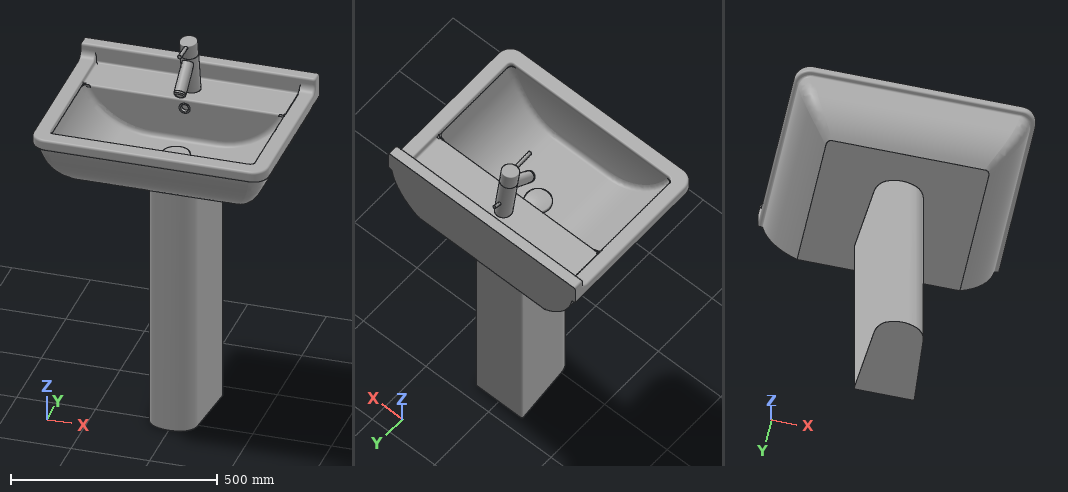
import cadquery as cq
import math

basin_width = 600.0
basin_depth = 450.0
basin_bottom_z = 707.0
rim_bottom_z = 836.0
rim_top_z = 865.0
rim_corner_radius = 40.0
rim_top_fillet = 7.0
rim_bottom_fillet = 5.0

upstand_top_z = 902.0
upstand_depth = 31.0
upstand_foot_radius = 20.0

underside_half_width_top = 288.0
underside_half_width_mid = 249.0
underside_half_width_low = 182.0
underside_depth_top = 435.0
underside_depth_mid = 398.0
underside_depth_low = 291.0
underside_mid_z = 746.0
underside_low_z = 697.0
underside_corner_radius = 31.0
underside_neck_fillet = 5.0

tray_half_width = 258.0
tray_front_y = -409.0
tray_corner_radius = 11.0
tray_edge_fillet = 5.0
deck_z = 854.0
deck_front_y = -140.0
deck_fillet = 6.0

floor_z = 737.0
floor_half_width = 83.0
floor_front_y = -379.0
floor_fillet = 15.0
front_wall_mid_y = -398.0

overflow_diameter = 28.0
overflow_bore = 20.0
overflow_depth = 10.0
overflow_z = 830.0

plug_diameter = 70.0
plug_y = -210.0
plug_edge_height = 5.0
plug_height = 10.0
plug_edge_fillet = 3.0

tap_diameter = 45.0
tap_tilt = math.radians(10.0)
tap_top = (0, -107.0, 1000.9)
tap_head_height = 40.0
tap_head_fillet = 2.0

spout_diameter = 30.0
spout_slope = math.radians(38.0)
spout_end = (0, -176.0, 892.0)
spout_root_z = 952.0
aerator_diameter = 28.0
aerator_length = 8.0
aerator_chamfer = 3.0

lever_diameter = 9.3
lever_slope = math.radians(3.0)
lever_end = (0, -181.0, 995.0)
lift_rod_diameter = 8.0
lift_rod_slope = math.radians(20.0)
lift_rod_end = (0, -47.0, 908.0)

pedestal_back_half_width = 75.0
pedestal_back_y = -63.0
pedestal_side_end = (61.0, -226.0)
pedestal_nose_end = (37.7, -262.0)
pedestal_front_y = -270.0
pedestal_corner_bulge = 6.0
pedestal_back_fillet = 5.0
pedestal_top_fillet = 5.0

tap_up = (0, -math.sin(tap_tilt), math.cos(tap_tilt))
tap_down = (0, math.sin(tap_tilt), -math.cos(tap_tilt))
spout_inward = (0, math.cos(spout_slope), math.sin(spout_slope))
spout_outward = (0, -math.cos(spout_slope), -math.sin(spout_slope))
lever_inward = (0, math.cos(lever_slope), -math.sin(lever_slope))
lift_rod_inward = (0, -math.cos(lift_rod_slope), -math.sin(lift_rod_slope))

tap_joint = tuple(top + tap_head_height * down for top, down in zip(tap_top, tap_down))

near = 0.1
clear = 1.0


def round_bar(start, direction, length, diameter):
    """Round bar from a start point along a direction."""
    return cq.Workplane(
        cq.Solid.makeCylinder(diameter / 2, length, cq.Vector(*start), cq.Vector(*direction))
    )


def block(width, depth, height):
    """Block centred on x = 0, standing on z = 0 with its front on y = 0."""
    return cq.Workplane("XY").box(width, depth, height, centered=(True, False, False))


def fillet_where(body, chosen, radius):
    """Round the edges whose midpoint passes a test."""
    edges = [edge for edge in body.edges().vals() if chosen(edge.Center())]
    return body.newObject(edges).fillet(radius)




def on_rim_outer_top(point):
    """Upper outer edges: along the sides, round the front and along the upstand."""
    high = point.z > rim_top_z - near
    on_side = high and abs(point.x) > basin_width / 2 - near and point.y < -near
    on_front = high and point.y < -basin_depth + rim_corner_radius
    on_upstand = point.z > upstand_top_z - near and abs(point.y + upstand_depth) < near
    return on_side or on_front or on_upstand


def on_neck(point):
    """Edges where the underside of the bowl meets the bottom of the rim."""
    inside_rim = abs(point.x) < underside_half_width_top + clear and point.y > -underside_depth_top - clear
    return inside_rim and abs(point.z - rim_bottom_z) < near and point.y < -near


def on_tray_opening(point):
    """Edges of the tray in the top of the rim."""
    in_tray = abs(point.x) < tray_half_width + near and tray_front_y - near < point.y < -upstand_depth
    return in_tray and abs(point.z - rim_top_z) < near


def on_underside_corner(point):
    """Slanting edges between the front and the sides of the underside."""
    off_centre = abs(point.x) > floor_half_width and point.y < -underside_depth_low
    return off_centre and underside_low_z + clear < point.z < rim_bottom_z - clear


def on_hollow_foot(point):
    """Edges of the bowl hollow along the foot of its back wall and of its front wall."""
    at_wall = point.y > deck_front_y - near or point.y < floor_front_y + near
    return at_wall and point.z < deck_z - clear


def on_plug_rim(point):
    """Upper edge of the drain plug, before it is moved into place."""
    return abs(point.z - plug_edge_height) < near


def make_rim():
    """Rim slab with the upstand at its back, rounded along its outer edges."""
    foot_z = rim_top_z + upstand_foot_radius
    foot_y = -upstand_depth - upstand_foot_radius
    bend = upstand_foot_radius * (1 - math.sqrt(0.5))
    rim = (
        cq.Workplane("YZ")
        .moveTo(0, rim_bottom_z)
        .lineTo(0, upstand_top_z)
        .lineTo(-upstand_depth, upstand_top_z)
        .lineTo(-upstand_depth, foot_z)
        .threePointArc((-upstand_depth - bend, rim_top_z + bend), (foot_y, rim_top_z))
        .lineTo(-basin_depth, rim_top_z)
        .lineTo(-basin_depth, rim_bottom_z)
        .close()
        .extrude(basin_width / 2, both=True)
    )
    rim = rim.edges("|Z and <Y").fillet(rim_corner_radius)
    rim = fillet_where(rim, on_rim_outer_top, rim_top_fillet)
    return rim.faces("<Z").edges("not(>Y)").fillet(rim_bottom_fillet)


def make_underside():
    """Outside of the bowl: curved sides and a curved front with rounded corners, cut flat below."""
    across = (
        cq.Workplane("XZ")
        .moveTo(-underside_half_width_top, rim_bottom_z)
        .threePointArc(
            (-underside_half_width_mid, underside_mid_z), (-underside_half_width_low, underside_low_z)
        )
        .lineTo(underside_half_width_low, underside_low_z)
        .threePointArc(
            (underside_half_width_mid, underside_mid_z), (underside_half_width_top, rim_bottom_z)
        )
        .close()
        .extrude(basin_depth)
    )
    along = (
        cq.Workplane("YZ")
        .moveTo(0, rim_bottom_z)
        .lineTo(0, underside_low_z)
        .lineTo(-underside_depth_low, underside_low_z)
        .threePointArc((-underside_depth_mid, underside_mid_z), (-underside_depth_top, rim_bottom_z))
        .close()
        .extrude(basin_width / 2, both=True)
    )
    underside = fillet_where(across.intersect(along), on_underside_corner, underside_corner_radius)
    below = block(2 * basin_width, 2 * basin_depth, basin_bottom_z).translate((0, -basin_depth, 0))
    return underside.cut(below)


def make_tray():
    """Shallow recess inside the rim, down to the tap deck."""
    tray = block(2 * tray_half_width, -upstand_depth - tray_front_y, upstand_top_z - deck_z)
    tray = tray.edges("|Z and <Y").fillet(tray_corner_radius)
    return tray.translate((0, tray_front_y, deck_z))


def make_deck_cove():
    """Rounded foot where the tap deck meets the walls behind it and beside it."""
    width = 2 * tray_half_width
    depth = -upstand_depth - deck_front_y
    space = block(width, depth, 2 * deck_fillet).faces("<Z").edges("not(<Y)").fillet(deck_fillet)
    return block(width, depth, deck_fillet).cut(space).translate((0, deck_front_y, deck_z))


def make_lip_rounding():
    """Material taken off the front edge of the tap deck to round it."""
    bar = block(2 * tray_half_width, deck_fillet, deck_fillet)
    rounding = cq.Workplane("YZ").circle(deck_fillet).extrude(tray_half_width, both=True)
    rounding = rounding.translate((0, deck_fillet, 0))
    return bar.cut(rounding).translate((0, deck_front_y, deck_z - deck_fillet))


def make_hollow():
    """Bowl hollow: flat floor, sides curving up from it, straight back wall and curved front wall."""
    rise = deck_z - floor_z
    run = tray_half_width - floor_half_width
    side_radius = (rise**2 + run**2) / (2 * rise)
    half_angle = math.asin(run / side_radius) / 2
    side_mid_x = floor_half_width + side_radius * math.sin(half_angle)
    side_mid_z = floor_z + side_radius * (1 - math.cos(half_angle))
    trough = (
        cq.Workplane("XZ")
        .moveTo(-floor_half_width, floor_z)
        .lineTo(floor_half_width, floor_z)
        .threePointArc((side_mid_x, side_mid_z), (tray_half_width, deck_z))
        .lineTo(-tray_half_width, deck_z)
        .threePointArc((-side_mid_x, side_mid_z), (-floor_half_width, floor_z))
        .close()
        .extrude(basin_depth)
    )
    along = (
        cq.Workplane("YZ")
        .moveTo(deck_front_y, deck_z)
        .lineTo(deck_front_y, floor_z)
        .lineTo(floor_front_y, floor_z)
        .threePointArc((front_wall_mid_y, (floor_z + deck_z) / 2), (tray_front_y, deck_z))
        .close()
        .extrude(basin_width / 2, both=True)
    )
    return fillet_where(trough.intersect(along), on_hollow_foot, floor_fillet)


def make_overflow_bar(diameter):
    """Bar going into the back wall of the bowl at the overflow."""
    return round_bar((0, deck_front_y, overflow_z), (0, 1, 0), overflow_depth, diameter)


def make_basin():
    basin = make_rim().union(make_underside())
    basin = fillet_where(basin, on_neck, underside_neck_fillet)
    basin = basin.cut(make_tray())
    basin = fillet_where(basin, on_tray_opening, tray_edge_fillet)
    basin = basin.union(make_deck_cove())
    basin = basin.cut(make_hollow())
    basin = basin.cut(make_lip_rounding())
    return basin.cut(make_overflow_bar(overflow_diameter))




def make_overflow_ring():
    return make_overflow_bar(overflow_diameter).cut(make_overflow_bar(overflow_bore))


def make_plug():
    """Flat-bottomed disc with a domed top and a rounded rim."""
    radius = plug_diameter / 2
    dome_mid_z = (plug_edge_height + 3 * plug_height) / 4
    plug = (
        cq.Workplane("XZ")
        .lineTo(radius, 0)
        .lineTo(radius, plug_edge_height)
        .threePointArc((radius / 2, dome_mid_z), (0, plug_height))
        .close()
        .revolve(360, (0, 0), (0, 1))
    )
    plug = fillet_where(plug, on_plug_rim, plug_edge_fillet)
    return plug.translate((0, plug_y, floor_z))




def make_tap_column():
    """Long column on the tap axis, which the lever and the lift rod butt against."""
    half_length = tap_top[2] - deck_z
    start = tuple(top + half_length * up for top, up in zip(tap_top, tap_up))
    return round_bar(start, tap_down, 2 * half_length, tap_diameter)


def make_tap_body():
    """Leaning column standing on the deck, with the spout."""
    reach = 2 * (tap_joint[2] - deck_z)
    column = round_bar(tap_joint, tap_down, reach, tap_diameter)
    under_deck = block(basin_width, basin_depth, deck_z).translate((0, -basin_depth, 0))
    spout_length = (spout_root_z - spout_end[2]) / math.sin(spout_slope)
    spout = round_bar(spout_end, spout_inward, spout_length, spout_diameter)
    return column.cut(under_deck).union(spout)


def make_aerator():
    aerator = round_bar(spout_end, spout_outward, aerator_length, aerator_diameter)
    return aerator.faces("<Z").edges().chamfer(aerator_chamfer)


def make_tap_head():
    head = round_bar(tap_top, tap_down, tap_head_height, tap_diameter)
    return head.faces(">Z").edges().fillet(tap_head_fillet)


def make_lever():
    reach = tap_top[1] - lever_end[1]
    return round_bar(lever_end, lever_inward, reach, lever_diameter).cut(make_tap_column())


def make_lift_rod():
    reach = lift_rod_end[1] - tap_top[1] - tap_diameter / 2
    return round_bar(lift_rod_end, lift_rod_inward, reach, lift_rod_diameter).cut(make_tap_column())




def make_pedestal():
    side_x, side_y = pedestal_side_end
    nose_x, nose_y = pedestal_nose_end
    pedestal = (
        cq.Workplane("XY")
        .moveTo(pedestal_back_half_width, pedestal_back_y)
        .lineTo(side_x, side_y)
        .sagittaArc((nose_x, nose_y), pedestal_corner_bulge)
        .threePointArc((0, pedestal_front_y), (-nose_x, nose_y))
        .sagittaArc((-side_x, side_y), pedestal_corner_bulge)
        .lineTo(-pedestal_back_half_width, pedestal_back_y)
        .close()
        .extrude(basin_bottom_z)
    )
    pedestal = pedestal.edges("|Z and >Y").fillet(pedestal_back_fillet)
    return pedestal.faces(">Z").edges().fillet(pedestal_top_fillet)


result = cq.Compound.makeCompound(
    [
        make_basin().val(),
        make_overflow_ring().val(),
        make_plug().val(),
        make_tap_body().val(),
        make_aerator().val(),
        make_tap_head().val(),
        make_lever().val(),
        make_lift_rod().val(),
        make_pedestal().val(),
    ]
)